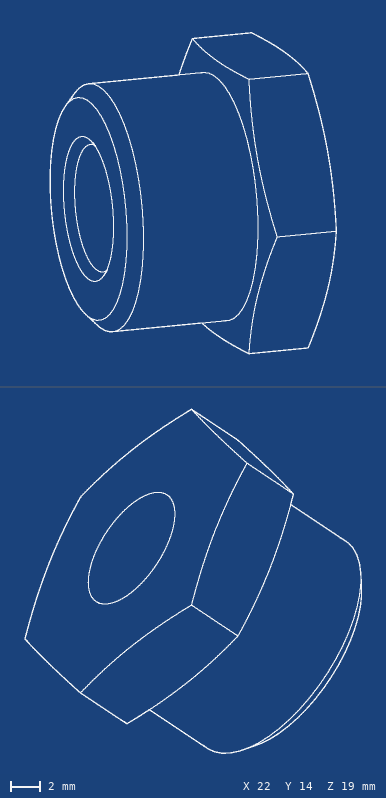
import cadquery as cq
import math

across_corners = 21.95
across_flats = across_corners * math.cos(math.radians(30))
head_length = 5.0
head_chamfer_angle = 15.0

shank_diameter = 16.65
shank_length = 9.0
tip_chamfer = 0.85

bore_diameter = 8.55
bore_mouth_diameter = 9.72


def make_head():
    """Hexagon from y = 0 to y = head_length, corners on X, both ends turned to a shallow cone."""
    hexagon = (
        cq.Workplane("XZ")
        .polygon(6, across_corners)
        .extrude(-head_length)
    )
    face_radius = across_flats / 2
    corner_radius = across_corners / 2
    corner_drop = (corner_radius - face_radius) * math.tan(math.radians(head_chamfer_angle))
    turned_envelope = (
        cq.Workplane("XY")
        .moveTo(0, 0)
        .lineTo(face_radius, 0)
        .lineTo(corner_radius, corner_drop)
        .lineTo(corner_radius, head_length - corner_drop)
        .lineTo(face_radius, head_length)
        .lineTo(0, head_length)
        .close()
        .revolve(360, (0, 0), (0, 1))
    )
    return hexagon.intersect(turned_envelope)


def make_shank():
    """Cylinder from the head to y = -shank_length with a chamfered tip."""
    return (
        cq.Workplane("XZ")
        .circle(shank_diameter / 2)
        .extrude(shank_length)
        .faces("<Y")
        .chamfer(tip_chamfer)
    )


def make_bore():
    """Through bore with a 45 degree countersink at the shank tip."""
    bore_radius = bore_diameter / 2
    mouth_radius = bore_mouth_diameter / 2
    mouth_depth = mouth_radius - bore_radius
    return (
        cq.Workplane("XY")
        .moveTo(0, -shank_length)
        .lineTo(mouth_radius, -shank_length)
        .lineTo(bore_radius, -shank_length + mouth_depth)
        .lineTo(bore_radius, head_length)
        .lineTo(0, head_length)
        .close()
        .revolve(360, (0, 0), (0, 1))
    )


result = make_head().union(make_shank()).cut(make_bore())